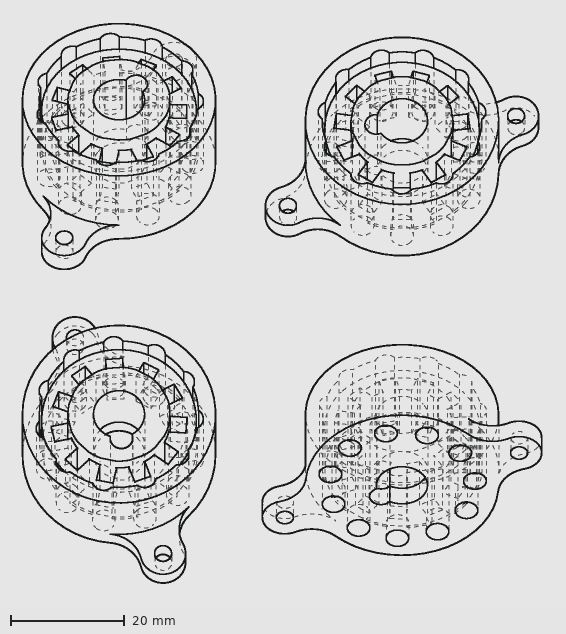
import cadquery as cq
import math

housing_radius = 17.0
total_height = 18.0
base_thickness = 4.0
cavity_radius = 14.0

lug_radius = 4.0
lug_hole_diameter = 3.0
lug_span = 51.65
lug_angle = 82.7
lug_blend_angle = 25.7

detent_count = 11
detent_diameter = 4.0
detent_circle_radius = 12.85
detent_start_angle = 180.8

flange_diameter = 27.2
flange_depth = 3.0
hub_radius = 9.0
bore_diameter = 9.0
notch_diameter = 4.0
notch_x = 1.75
notch_y = 4.25

pocket_side = 3.0
pocket_outer_reach = 11.9

lug_center_radius = (lug_span / 2 - lug_radius) / math.sin(math.radians(lug_angle))
flange_top = total_height - flange_depth


def polar(radius, angle):
    return (radius * math.cos(math.radians(angle)), radius * math.sin(math.radians(angle)))


def toward(start, end, distance):
    """Point at a distance from start, on the line to end."""
    ratio = distance / math.dist(start, end)
    return (start[0] + ratio * (end[0] - start[0]), start[1] + ratio * (end[1] - start[1]))


def detent_angles():
    return [detent_start_angle + i * 360 / detent_count for i in range(detent_count)]


def make_lug(angle):
    """Round lug joined to the base by a concave arc on each side, tangent to both."""
    center = polar(lug_center_radius, angle)
    along = lug_center_radius * math.cos(math.radians(lug_blend_angle))
    blend_radius = (
        (housing_radius**2 + lug_center_radius**2 - lug_radius**2 - 2 * housing_radius * along)
        / (2 * (lug_radius + along - housing_radius))
    )
    blend_distance = housing_radius + blend_radius
    right_blend = polar(blend_distance, angle - lug_blend_angle)
    left_blend = polar(blend_distance, angle + lug_blend_angle)
    tip = polar(lug_center_radius + lug_radius, angle)

    def blend_middle(blend_center, side):
        body_end = polar(housing_radius, angle + side * lug_blend_angle)
        lug_end = toward(center, blend_center, lug_radius)
        chord_middle = ((body_end[0] + lug_end[0]) / 2, (body_end[1] + lug_end[1]) / 2)
        return toward(blend_center, chord_middle, blend_radius)

    outline = (
        cq.Workplane("XY")
        .moveTo(0, 0)
        .lineTo(*polar(housing_radius, angle - lug_blend_angle))
        .threePointArc(blend_middle(right_blend, -1), toward(center, right_blend, lug_radius))
        .threePointArc(tip, toward(center, left_blend, lug_radius))
        .threePointArc(blend_middle(left_blend, 1), polar(housing_radius, angle + lug_blend_angle))
        .close()
    )
    hole = cq.Workplane("XY").center(*center).circle(lug_hole_diameter / 2).extrude(base_thickness)
    return outline.extrude(base_thickness).cut(hole)


def make_bore():
    """Shaft bore with a round notch in its side."""
    bore = cq.Workplane("XY").circle(bore_diameter / 2).extrude(total_height)
    notch = cq.Workplane("XY").center(notch_x, notch_y).circle(notch_diameter / 2).extrude(total_height)
    return bore.union(notch)


def make_housing():
    body = cq.Workplane("XY").circle(housing_radius).extrude(total_height)
    for angle in (lug_angle, lug_angle + 180):
        body = body.union(make_lug(angle))
    cavity_height = total_height - base_thickness
    cavity = cq.Workplane("XY").workplane(offset=base_thickness).circle(cavity_radius).extrude(cavity_height)
    detents = (
        cq.Workplane("XY")
        .pushPoints([polar(detent_circle_radius, angle) for angle in detent_angles()])
        .circle(detent_diameter / 2)
        .extrude(total_height)
    )
    return body.cut(cavity).cut(detents).cut(make_bore())


def make_rotor():
    flange_height = flange_top - base_thickness
    flange = (
        cq.Workplane("XY").workplane(offset=base_thickness).circle(flange_diameter / 2).extrude(flange_height)
    )
    hub = cq.Workplane("XY").circle(hub_radius).extrude(total_height - base_thickness)
    rotor = flange.union(hub.translate((0, 0, base_thickness))).cut(make_bore())
    pocket = cq.Workplane("XY").box(pocket_side, pocket_side, total_height, centered=(False, True, False))
    pocket = pocket.translate((pocket_outer_reach - pocket_side, 0, 0))
    for angle in detent_angles():
        rotor = rotor.cut(pocket.rotate((0, 0, 0), (0, 0, 1), angle))
    return rotor


housing = make_housing()
rotor = make_rotor()
result = cq.Compound.makeCompound([housing.val(), rotor.val()])